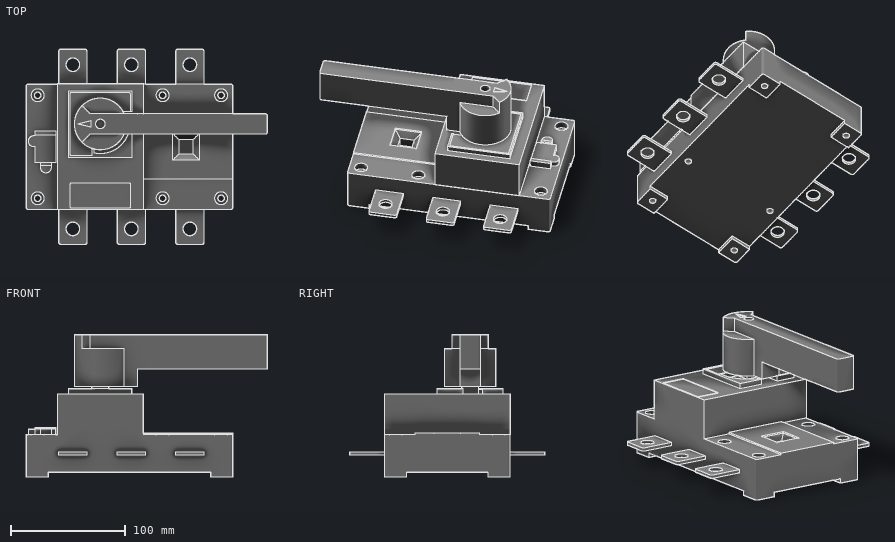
import cadquery as cq
import math


base_length = 180.0
base_width = 109.2
base_height = 37.0
edge_radius = 2.0
notch_height = 4.0
foot_length = 19.4
foot_width = 19.2

mount_hole_diameter = 5.5
mount_bore_diameter = 11.2
mount_bore_depth = 6.5
mount_columns = (10.1, 118.8, 169.7)
mount_spread_y = 89.6

terminal_span = 170.0
terminal_width = 24.7
terminal_thickness = 3.0
terminal_bottom = 19.0
terminal_count = 3
terminal_pitch = 50.9
terminal_first_x = 40.7
terminal_hole_diameter = 11.6
terminal_hole_spread = 142.8

block_left = 27.2
block_length = 74.8
block_top = 72.3
block_back_step = 0.3
block_front = -base_width / 2
block_width = base_width + block_back_step
label_left = 38.4
label_length = 52.4
label_front = -53.3
label_width = 21.8
label_depth = 0.5
label_corner_radius = 1.0

cover_height = 1.3
cover_width = 56.4
window_x = 139.2
window_size = 23.3
window_floor_size = 12.5
window_taper_depth = 5.0
window_well_depth = 8.0

axis_x = 64.6
axis_y = 19.9
plate_left = 36.9
plate_length = 55.2
plate_front = -9.1
plate_width = 57.7
plate_height = 4.6
plate_top = block_top + plate_height
panel_rim = 1.45
panel_depth = 0.5
panel_corner_radius = 1.0
panel_end_x = -7.1
sweep_radius = 25.8
sweep_start_x = -5.7
sweep_end_y = 10.7
channel_front_y = -6.0
shaft_width = 15.0

slider_left = 8.0
slider_right = 26.0
slider_front = -13.6
slider_back = 10.3
slider_height = 4.7
slider_rib_height = 6.0
slider_rib_width = 3.3
side_tab_radius = 4.8
side_tab_tip_x = 2.0
side_tab_y = 4.9
front_tab_radius = 4.7
front_tab_x = 17.3
front_tab_tip_y = -22.7
front_rib_width = 2.5

hub_radius = 22.5
handle_bottom = plate_top + 1.8
hub_top = 111.8
arm_bottom = 94.0
handle_top = 124.0
arm_width = 17.9
arm_end_x = 210.0
neck_end_x = 97.0
pointer_half_angle = math.radians(45)
screw_hole_diameter = 8.3
screw_hole_depth = 10.0
arrow_tip_x = -19.4
arrow_base_x = -8.0
arrow_width = 5.6
arrow_depth = 0.5


def box(x_range, y_range, z_range):
    """Axis-aligned block given by its (low, high) limits on each axis."""
    sizes = [high - low for low, high in (x_range, y_range, z_range)]
    corner = (x_range[0], y_range[0], z_range[0])
    return cq.Workplane("XY").box(*sizes, centered=False).translate(corner)


def disc(x, y, radius, z_range):
    """Upright cylinder between two heights."""
    low, high = z_range
    return cq.Workplane("XY", origin=(x, y, low)).circle(radius).extrude(high - low)


def make_base():
    """Block with rounded vertical edges, standing on four corner feet."""
    half_width = base_width / 2
    base = box((0, base_length), (-half_width, half_width), (0, base_height))
    base = base.edges("|Z").fillet(edge_radius)
    notch_z = (0, notch_height)
    inner_y = half_width - foot_width
    base = base.cut(box((foot_length, base_length - foot_length), (-half_width, half_width), notch_z))
    return base.cut(box((0, base_length), (-inner_y, inner_y), notch_z))


def make_terminal(x):
    """Copper bar running through the base, with a bolt hole at each end."""
    bar = (
        cq.Workplane("XY", origin=(x, 0, terminal_bottom))
        .rect(terminal_width, terminal_span)
        .extrude(terminal_thickness)
        .edges("|Z")
        .fillet(edge_radius)
    )
    return (
        bar.faces(">Z")
        .workplane(centerOption="CenterOfBoundBox")
        .rarray(1, terminal_hole_spread, 1, 2)
        .hole(terminal_hole_diameter)
    )


def make_upper_block():
    """Tall block over the mechanism, with a shallow label recess on top."""
    block = box(
        (block_left, block_left + block_length),
        (block_front, block_front + block_width),
        (base_height, block_top),
    )
    label = box(
        (label_left, label_left + label_length),
        (label_front, label_front + label_width),
        (block_top - label_depth, block_top),
    )
    return block.cut(label.edges("|Z").fillet(label_corner_radius))


def make_cover():
    """Raised strip on the base, to the right of the upper block."""
    return box(
        (block_left + block_length, base_length),
        (-cover_width / 2, cover_width / 2),
        (base_height, base_height + cover_height),
    )


def make_window():
    """Cutter for the square window: straight through the cover, tapered, then a square well."""
    mouth = (
        cq.Workplane("XY", origin=(window_x, 0, base_height))
        .rect(window_size, window_size)
        .extrude(cover_height)
    )
    funnel = (
        cq.Workplane("XY", origin=(window_x, 0, base_height))
        .rect(window_size, window_size)
        .workplane(offset=-window_taper_depth)
        .rect(window_floor_size, window_floor_size)
        .loft(ruled=True)
    )
    well = (
        cq.Workplane("XY", origin=(window_x, 0, base_height - window_taper_depth - window_well_depth))
        .rect(window_floor_size, window_floor_size)
        .extrude(window_well_depth)
    )
    return mouth.union(funnel).union(well)


def make_dial_plate():
    """Plate under the handle with an L-shaped panel recess and a sweep pocket."""
    plate_right = plate_left + plate_length
    plate_back = plate_front + plate_width
    plate_z = (block_top, plate_top)
    plate = box((plate_left, plate_right), (plate_front, plate_back), plate_z)

    panel_z = (plate_top - panel_depth, plate_top)
    left_leg = box(
        (plate_left + panel_rim, axis_x + panel_end_x),
        (plate_front + panel_rim, plate_back - panel_rim),
        panel_z,
    )
    back_leg = box(
        (plate_left + panel_rim, plate_right - panel_rim),
        (axis_y, plate_back - panel_rim),
        panel_z,
    )
    panel = left_leg.union(back_leg).edges("|Z").fillet(panel_corner_radius)

    sweep_limits = box(
        (axis_x + sweep_start_x, axis_x + sweep_radius),
        (axis_y - sweep_radius, axis_y + sweep_end_y),
        plate_z,
    )
    sweep = disc(axis_x, axis_y, sweep_radius, plate_z).intersect(sweep_limits)
    channel = box((axis_x, plate_right), (axis_y + channel_front_y, axis_y + sweep_end_y), plate_z)
    return plate.cut(panel).cut(sweep).cut(channel)


def make_shaft():
    """Square shaft rising from the upper block to the underside of the handle."""
    half = shaft_width / 2
    return box(
        (axis_x - half, axis_x + half),
        (axis_y - half, axis_y + half),
        (block_top, handle_bottom),
    )


def make_slider():
    """Lock slider: body, two round-ended tabs and two low ribs."""
    slider_z = (base_height, base_height + slider_height)
    rib_z = (base_height, base_height + slider_rib_height)
    side_tab_x = side_tab_tip_x + side_tab_radius
    front_tab_y = front_tab_tip_y + front_tab_radius
    front_tab_sides = (front_tab_x - front_tab_radius, front_tab_x + front_tab_radius)
    side_tab_sides = (side_tab_y - side_tab_radius, side_tab_y + side_tab_radius)
    parts = [
        disc(side_tab_x, side_tab_y, side_tab_radius, slider_z),
        box((side_tab_x, slider_left), side_tab_sides, slider_z),
        box(front_tab_sides, (front_tab_y, slider_front), slider_z),
        disc(front_tab_x, front_tab_y, front_tab_radius, slider_z),
        box((slider_left, slider_right), (slider_back, slider_back + slider_rib_width), rib_z),
        box(front_tab_sides, (slider_front - front_rib_width, slider_front), rib_z),
    ]
    slider = box((slider_left, slider_right), (slider_front, slider_back), slider_z)
    for part in parts:
        slider = slider.union(part)
    return slider


def make_housing():
    """Everything fixed to the base, as one solid."""
    housing = make_base().union(make_upper_block()).union(make_cover())
    for index in range(terminal_count):
        housing = housing.union(make_terminal(terminal_first_x + index * terminal_pitch))
    housing = housing.union(make_dial_plate()).union(make_shaft()).union(make_slider())
    housing = housing.cut(make_window())
    bore_z = (base_height - mount_bore_depth, base_height)
    for x in mount_columns:
        for y in (-mount_spread_y / 2, mount_spread_y / 2):
            housing = housing.cut(disc(x, y, mount_hole_diameter / 2, (0, base_height)))
            housing = housing.cut(disc(x, y, mount_bore_diameter / 2, bore_z))
    return housing


def make_handle():
    """Hub with a raised pointer sector, and the long arm reaching to the right."""
    hub = disc(axis_x, axis_y, hub_radius, (handle_bottom, hub_top))

    sector_x = -hub_radius * math.cos(pointer_half_angle)
    sector_y = hub_radius * math.sin(pointer_half_angle)
    pointer = (
        cq.Workplane("XY", origin=(axis_x, axis_y, hub_top))
        .lineTo(sector_x, sector_y)
        .threePointArc((-hub_radius, 0), (sector_x, -sector_y))
        .close()
        .extrude(handle_top - hub_top)
    )

    arm_sides = (axis_y - arm_width / 2, axis_y + arm_width / 2)
    arm = box((axis_x, arm_end_x), arm_sides, (arm_bottom, handle_top))
    arm = arm.edges("|Z and >X").fillet(edge_radius)
    neck = box((axis_x, neck_end_x), arm_sides, (handle_bottom, arm_bottom))

    arm_root = box((axis_x - arm_width / 2, axis_x), arm_sides, (hub_top, handle_top))

    screw_hole = disc(axis_x, axis_y, screw_hole_diameter / 2, (handle_top - screw_hole_depth, handle_top))
    arrow = (
        cq.Workplane("XY", origin=(axis_x, axis_y, handle_top - arrow_depth))
        .moveTo(arrow_tip_x, 0)
        .lineTo(arrow_base_x, arrow_width / 2)
        .lineTo(arrow_base_x, -arrow_width / 2)
        .close()
        .extrude(arrow_depth)
    )
    handle = hub.union(pointer).union(arm_root).union(arm).union(neck)
    return handle.cut(screw_hole).cut(arrow)


housing = make_housing()
handle = make_handle()

result = cq.Compound.makeCompound([housing.val(), handle.val()])